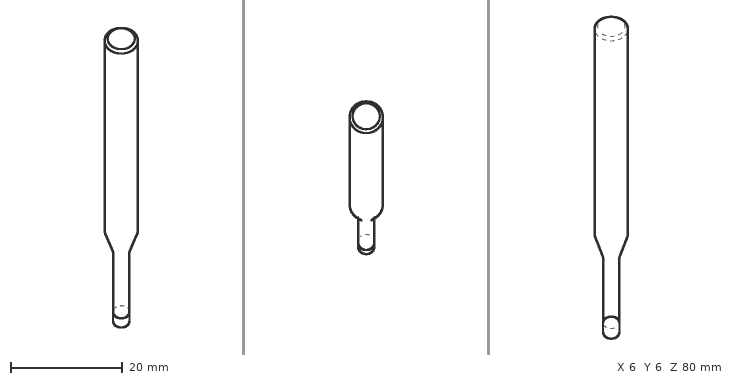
import cadquery as cq
import math

total_length = 80.0
shank_diameter = 6.0
neck_diameter = 2.9
head_diameter = shank_diameter / 2

head_length = 3.0
neck_top_height = 19.2
shank_bottom_height = 26.0

shank_chamfer = 0.6
head_corner_radius = 0.6

blend_radius = 6.4

shank_radius = shank_diameter / 2
neck_radius = neck_diameter / 2
head_radius = head_diameter / 2
bottom_z = -total_length / 2
top_z = total_length / 2
head_top_z = bottom_z + head_length
neck_top_z = bottom_z + neck_top_height
shank_bottom_z = bottom_z + shank_bottom_height

profile_plane = cq.Plane(origin=(0, 0, 0), xDir=(0, -1, 0), normal=(-1, 0, 0))


def blend_point(angle):
    """Point (radius, z) on the blend arc, turned by angle from the neck surface."""
    return (
        neck_radius + blend_radius * (1 - math.cos(angle)),
        neck_top_z + blend_radius * math.sin(angle),
    )


def cone_half_angle():
    """Angle of the line from the shank's lower edge that is tangent to the blend arc."""
    radial_offset = neck_radius + blend_radius - shank_radius
    axial_offset = shank_bottom_z - neck_top_z
    centre_distance = math.hypot(radial_offset, axial_offset)
    centre_direction = math.atan2(axial_offset, radial_offset)
    return centre_direction - math.acos(blend_radius / centre_distance)


def revolve_about_z(profile):
    """Turn a closed radius-height profile into a solid of revolution about Z."""
    return profile.close().revolve(360, (0, 0, 0), (0, 1, 0))


def make_shank():
    """Chamfered shank, cone and slender neck turned as one body."""
    half_angle = cone_half_angle()
    profile = (
        cq.Workplane(profile_plane)
        .moveTo(0, head_top_z)
        .lineTo(neck_radius, head_top_z)
        .lineTo(neck_radius, neck_top_z)
        .threePointArc(blend_point(half_angle / 2), blend_point(half_angle))
        .lineTo(shank_radius, shank_bottom_z)
        .lineTo(shank_radius, top_z - shank_chamfer)
        .lineTo(shank_radius - shank_chamfer, top_z)
        .lineTo(0, top_z)
    )
    return revolve_about_z(profile)


def make_cutting_head():
    """Plain cylindrical head with a rounded lower corner, seated on the neck's end face."""
    profile = (
        cq.Workplane(profile_plane)
        .moveTo(0, bottom_z)
        .lineTo(head_radius, bottom_z)
        .lineTo(head_radius, head_top_z)
        .lineTo(0, head_top_z)
    )
    return revolve_about_z(profile).faces("<Z").edges().fillet(head_corner_radius)


shank = make_shank()
cutting_head = make_cutting_head()

result = cq.Compound.makeCompound([shank.val(), cutting_head.val()])